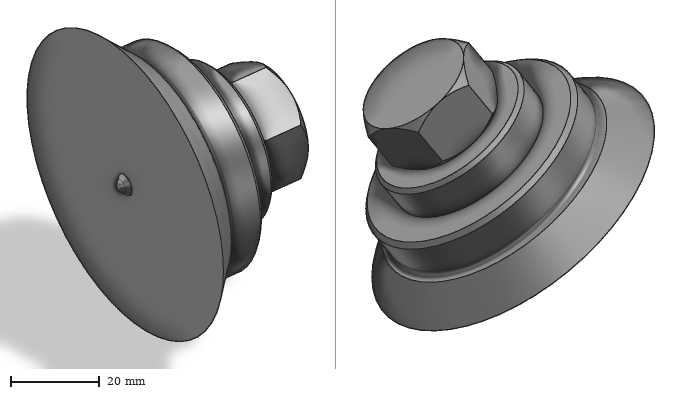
import cadquery as cq
import math

face_radius = 38.0
cone_height = 7.75
cone_back_radius = face_radius - cone_height

collar_radius = 57.0 / 2
collar_fillet = cone_back_radius - collar_radius
collar_front = cone_height + collar_fillet
collar_back = 18.2
collar_chamfer = 1.15

neck_radius = 40.0 / 2
neck_back = 27.05
neck_chamfer = 1.0

hex_across_flats = 27.0
hex_back = 41.05
hex_height = hex_back - neck_back
hex_corner_radius = hex_across_flats / math.sqrt(3)
hex_chamfer = hex_corner_radius - hex_across_flats / 2

tip_length = 2.0
tip_base_radius = 2.65
tip_ball_radius = 1.6
tip_cone_length = tip_base_radius - tip_ball_radius


def make_body():
    """Flared cone, collar and neck with chamfered rear edges and a hollow fillet behind the cone."""
    fillet_inset = collar_fillet * math.sqrt(0.5)
    fillet_middle = (cone_back_radius - fillet_inset, collar_front - fillet_inset)
    return (
        cq.Workplane("XY")
        .lineTo(face_radius, 0)
        .lineTo(cone_back_radius, cone_height)
        .threePointArc(fillet_middle, (collar_radius, collar_front))
        .lineTo(collar_radius, collar_back - collar_chamfer)
        .lineTo(collar_radius - collar_chamfer, collar_back)
        .lineTo(neck_radius, collar_back)
        .lineTo(neck_radius, neck_back - neck_chamfer)
        .lineTo(neck_radius - neck_chamfer, neck_back)
        .lineTo(0, neck_back)
        .close()
        .revolve(360, (0, 0), (0, 1))
    )


def make_hex_head():
    """Hexagon with corners on +/-Z, its corners cut by cones at both ends."""
    hexagon = (
        cq.Workplane("XZ", origin=(0, neck_back, 0))
        .transformed(rotate=(0, 0, 90))
        .polygon(6, 2 * hex_corner_radius)
        .extrude(-hex_height)
    )
    corner_envelope = (
        cq.Workplane("XZ", origin=(0, neck_back, 0))
        .circle(hex_corner_radius)
        .extrude(-hex_height)
        .faces("<Y or >Y")
        .chamfer(hex_chamfer)
    )
    return hexagon.intersect(corner_envelope)


def make_tip():
    """Small cone with a spherical end at the centre of the front face."""
    cap_height = tip_length - tip_cone_length
    sphere_radius = (tip_ball_radius**2 + cap_height**2) / (2 * cap_height)
    sphere_center = sphere_radius - tip_length
    arc_angle = math.asin(tip_ball_radius / sphere_radius) / 2
    arc_middle = (
        sphere_radius * math.sin(arc_angle),
        sphere_center - sphere_radius * math.cos(arc_angle),
    )
    return (
        cq.Workplane("XY")
        .lineTo(tip_base_radius, 0)
        .lineTo(tip_ball_radius, -tip_cone_length)
        .threePointArc(arc_middle, (0, -tip_length))
        .close()
        .revolve(360, (0, 0), (0, 1))
    )


result = make_body().union(make_hex_head()).union(make_tip())